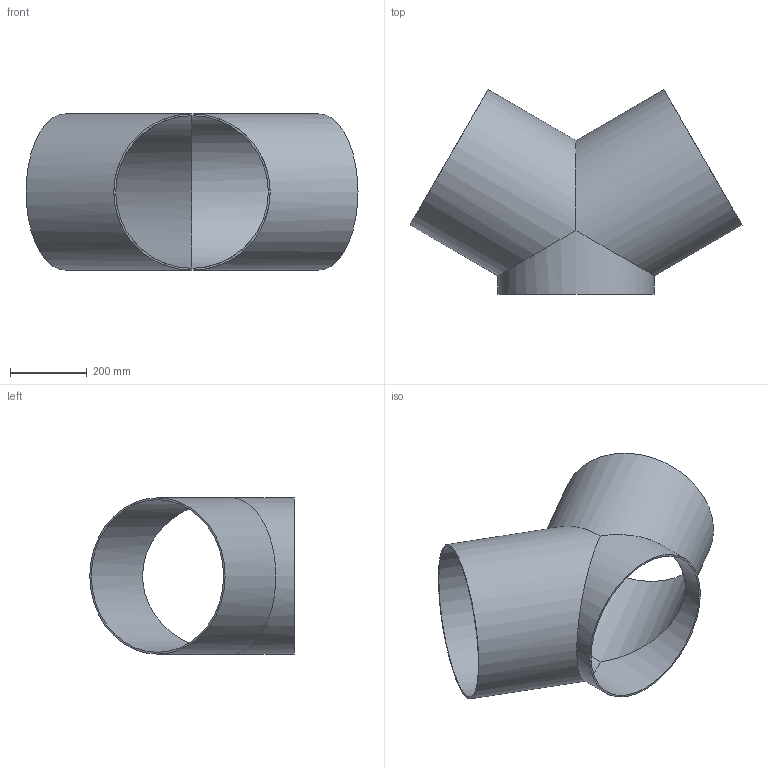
import cadquery as cq
import math

OUTER_DIAMETER = 406.4
INNER_DIAMETER = 396.85
INLET_LENGTH = 165.1
BRANCH_LENGTH = 381.0

PIPE_SPACING = 120
INLET_ANGLE = -90


def straight_pipe(length):
    """Plain tube along +X, starting at the origin."""
    return (
        cq.Workplane("YZ")
        .circle(OUTER_DIAMETER / 2)
        .circle(INNER_DIAMETER / 2)
        .extrude(length)
    )


def mitre_wedge(length):
    """Wedge around +X, bounded by the two mitre planes through the Z axis."""
    reach = 2 * length
    half_width = reach * math.tan(math.radians(PIPE_SPACING / 2))
    return (
        cq.Workplane("XY")
        .polyline([(0, 0), (reach, -half_width), (reach, half_width)])
        .close()
        .extrude(OUTER_DIAMETER, both=True)
    )


def mitred_pipe(angle, length):
    """Pipe with a two-sided mitre at the origin, turned to its angle from +X."""
    pipe = straight_pipe(length).intersect(mitre_wedge(length))
    return pipe.rotate((0, 0, 0), (0, 0, 1), angle)


inlet = mitred_pipe(INLET_ANGLE, INLET_LENGTH)
right_branch = mitred_pipe(INLET_ANGLE + PIPE_SPACING, BRANCH_LENGTH)
left_branch = mitred_pipe(INLET_ANGLE - PIPE_SPACING, BRANCH_LENGTH)

result = inlet.union(right_branch).union(left_branch)